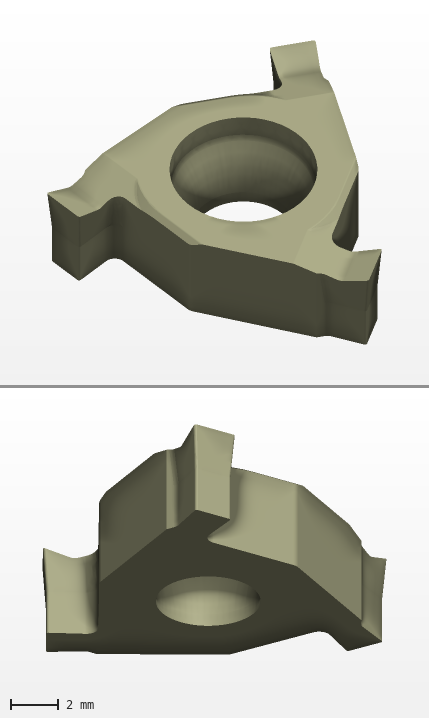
import cadquery as cq
import math


LOBES = 3
LOBE_ANGLE = 360 / LOBES
TOP_Z = 4.07
SIDE_X = -9.525 / 2
FLAT_Y = -4.585
CORNER_RADIUS = 0.5

TIP_REACH = 6.894
TIP_Z = 3.97
TOOTH_WIDTH = 2.0
TOOTH_X = -3.745
RELIEF_Z = TIP_Z - 2.0
RELIEF_SLOPE = math.tan(math.radians(4))
FLANK_SLOPE = math.tan(math.radians(3))
TIP_RADIUS = 0.1
ROOT_RADIUS = 0.5
TOOTH_BACK_Y = -4.0

STEP_START_Y = -4.62
STEP_ANGLE = math.radians(30)
STEP_LENGTH = 0.6
STEP_RADIUS = 0.5

RAKE_START_Y = -3.6
RAKE_ROUND = 0.12
FALL_SLOPE = math.tan(math.radians(16))
RISE_SLOPE = math.tan(math.radians(20))
VALLEY_RADIUS = 0.5
GROOVE_END_X = 3.0
GROOVE_ROOM = 1.0

SHOULDER_RADIUS = 4.0
SHOULDER_X = -0.42
SHOULDER_Y = -4.31
SHOULDER_SLOPE = math.tan(math.radians(35))
SHOULDER_DROP = 1.2
SHOULDER_ROUND = 0.12
SHOULDER_FILLET = 0.3

HOLE_RADIUS = 4.4 / 2
SEAT_RADIUS = 4.0
SEAT_END_Z = 0.55
BORE_RADIUS = 3.1
BORE_FLOOR_RADIUS = 3.02
SEAT_FILLET = 0.5

EDGE_REACH = 0.12


def rotated(point, degrees):
    """Turn a plan point about the part axis."""
    angle = math.radians(degrees)
    x, y = point
    return (x * math.cos(angle) - y * math.sin(angle), x * math.sin(angle) + y * math.cos(angle))


def steep_edges(part, point):
    """Upright and drafted edges of the part close to a plan point."""
    x, y = point
    column = cq.selectors.BoxSelector(
        (x - EDGE_REACH, y - EDGE_REACH, 0), (x + EDGE_REACH, y + EDGE_REACH, TOP_Z)
    )
    return part.edges(column).edges("not #Z")


def flat_corner_x():
    """X where the flat meets the long side of the next lobe."""
    angle = math.radians(LOBE_ANGLE)
    return (SIDE_X - FLAT_Y * math.sin(angle)) / math.cos(angle)


def make_body():
    """Prism with the long sides, the steps and the flats of all lobes."""
    step_end = (
        SIDE_X + STEP_LENGTH * math.sin(STEP_ANGLE),
        STEP_START_Y - STEP_LENGTH * math.cos(STEP_ANGLE),
    )
    corner = (flat_corner_x(), FLAT_Y)
    lobe = [(SIDE_X, STEP_START_Y), step_end, (TOOTH_X, FLAT_Y), corner]
    outline = [rotated(point, i * LOBE_ANGLE) for i in range(LOBES) for point in lobe]
    body = cq.Workplane("XY").polyline(outline).close().extrude(TOP_Z)
    for i in range(LOBES):
        body = steep_edges(body, rotated(corner, i * LOBE_ANGLE)).fillet(CORNER_RADIUS)
    return body


def tooth_outline(z):
    """Plan outline of the tooth at height z, drawn in by the relief below the cutting edge."""
    inset = (TIP_Z - z) * RELIEF_SLOPE
    tip_y = inset - TIP_REACH
    tip_half = TOOTH_WIDTH / 2 - inset
    back_half = tip_half - (TOOTH_BACK_Y - tip_y) * FLANK_SLOPE
    return [
        (TOOTH_X - tip_half, tip_y),
        (TOOTH_X + tip_half, tip_y),
        (TOOTH_X + back_half, TOOTH_BACK_Y),
        (TOOTH_X - back_half, TOOTH_BACK_Y),
    ]


def make_tooth():
    """Upright block below, flaring block above, with rounded tip corners."""
    base_outline = tooth_outline(RELIEF_Z)
    base = cq.Workplane("XY").polyline(base_outline).close().extrude(RELIEF_Z)
    flare = (
        cq.Workplane("XY", origin=(0, 0, RELIEF_Z)).polyline(base_outline).close()
        .workplane(offset=TOP_Z - RELIEF_Z).polyline(tooth_outline(TOP_Z)).close()
        .loft(ruled=True)
    )
    tooth = base.union(flare)
    for tip_corner in base_outline[:2]:
        tooth = steep_edges(tooth, tip_corner).fillet(TIP_RADIUS)
    return tooth


def root_corner():
    """Plan point where the upright right flank meets the clearance flat."""
    tip_x, tip_y = tooth_outline(RELIEF_Z)[1]
    return (tip_x - (FLAT_Y - tip_y) * FLANK_SLOPE, FLAT_Y)


def step_corner():
    """Plan point where the step meets the upright left flank."""
    tip_x, tip_y = tooth_outline(RELIEF_Z)[0]
    flank_x = tip_x + (STEP_START_Y - tip_y) * FLANK_SLOPE
    travel = (flank_x - SIDE_X) / (math.sin(STEP_ANGLE) + FLANK_SLOPE * math.cos(STEP_ANGLE))
    return (SIDE_X + travel * math.sin(STEP_ANGLE), STEP_START_Y - travel * math.cos(STEP_ANGLE))


def make_groove():
    """Cutter across the tooth: fall from the top face, rounded valley, rise to the cutting edge."""
    valley_y = (
        (TIP_Z - TOP_Z - RISE_SLOPE * TIP_REACH + FALL_SLOPE * RAKE_START_Y) / (FALL_SLOPE + RISE_SLOPE)
    )
    valley_z = TOP_Z - FALL_SLOPE * (RAKE_START_Y - valley_y)
    fall_angle = math.atan(FALL_SLOPE)
    tangent = RAKE_ROUND * math.tan(fall_angle / 2)
    round_y = RAKE_START_Y + tangent
    round_z = TOP_Z - RAKE_ROUND
    end_y = -TIP_REACH - GROOVE_ROOM
    end_z = TIP_Z + RISE_SLOPE * GROOVE_ROOM
    length = GROOVE_END_X - SIDE_X + GROOVE_ROOM
    groove = (
        cq.Workplane("YZ", origin=(SIDE_X - GROOVE_ROOM, 0, 0))
        .moveTo(round_y, TOP_Z)
        .threePointArc(
            (
                round_y - RAKE_ROUND * math.sin(fall_angle / 2),
                round_z + RAKE_ROUND * math.cos(fall_angle / 2),
            ),
            (round_y - RAKE_ROUND * math.sin(fall_angle), round_z + RAKE_ROUND * math.cos(fall_angle)),
        )
        .lineTo(valley_y, valley_z)
        .lineTo(end_y, end_z)
        .lineTo(end_y, TOP_Z + GROOVE_ROOM)
        .lineTo(round_y, TOP_Z + GROOVE_ROOM)
        .close().extrude(length)
    )
    middle_x = SIDE_X - GROOVE_ROOM + length / 2
    valley = cq.selectors.NearestToPointSelector((middle_x, valley_y, valley_z))
    return groove.edges(valley).fillet(VALLEY_RADIUS)


def shoulder_section(plane):
    """Half section of the shoulder, outward from its arc centre: flat top, rounded edge, bevel."""
    angle = math.atan(SHOULDER_SLOPE)
    tangent = SHOULDER_ROUND * math.tan(angle / 2)
    round_z = TOP_Z - SHOULDER_ROUND
    bottom_z = TOP_Z - SHOULDER_DROP
    start = SHOULDER_RADIUS - tangent
    return (
        cq.Workplane(plane)
        .moveTo(0, bottom_z)
        .lineTo(0, TOP_Z)
        .lineTo(start, TOP_Z)
        .threePointArc(
            (start + SHOULDER_ROUND * math.sin(angle / 2), round_z + SHOULDER_ROUND * math.cos(angle / 2)),
            (start + SHOULDER_ROUND * math.sin(angle), round_z + SHOULDER_ROUND * math.cos(angle)),
        )
        .lineTo(SHOULDER_RADIUS + SHOULDER_DROP / SHOULDER_SLOPE, bottom_z)
        .close()
    )


def make_shoulder():
    """Bevelled shoulder: turned about the arc centre, then running straight along +X."""
    centre_y = SHOULDER_Y + SHOULDER_RADIUS
    outward = cq.Plane(origin=(SHOULDER_X, centre_y, 0), xDir=(0, -1, 0), normal=(-1, 0, 0))
    arc = shoulder_section(outward).revolve(360, (0, 0, 0), (0, 1, 0))
    straight = shoulder_section(outward).extrude(SHOULDER_X - GROOVE_END_X)
    return arc.union(straight)


def make_chip_cutter():
    """Chip groove with the shoulder left standing in it, filleted where the two meet."""
    return make_groove().cut(make_shoulder()).edges("%ELLIPSE").fillet(SHOULDER_FILLET)


def make_screw_hole():
    """Bore, rounded screw seat and through hole, turned as one solid."""
    centre_r = HOLE_RADIUS + SEAT_RADIUS
    seat_sweep = math.acos((centre_r - BORE_FLOOR_RADIUS) / SEAT_RADIUS)
    seat_top_z = SEAT_END_Z + SEAT_RADIUS * math.sin(seat_sweep)
    hole = (
        cq.Workplane("XZ")
        .lineTo(HOLE_RADIUS, 0)
        .lineTo(HOLE_RADIUS, SEAT_END_Z)
        .threePointArc(
            (
                centre_r - SEAT_RADIUS * math.cos(seat_sweep / 2),
                SEAT_END_Z + SEAT_RADIUS * math.sin(seat_sweep / 2),
            ),
            (BORE_FLOOR_RADIUS, seat_top_z),
        )
        .lineTo(BORE_RADIUS, TOP_Z)
        .lineTo(0, TOP_Z)
        .close().revolve(360, (0, 0, 0), (0, 1, 0))
    )
    rim = cq.selectors.RadiusNthSelector(1)
    return hole.edges("%CIRCLE").edges(rim).fillet(SEAT_FILLET)


def finish_lobe(part):
    """Add the tooth, its root fillets and its chip groove at the -X, -Y corner."""
    part = part.union(make_tooth())
    part = steep_edges(part, root_corner()).fillet(ROOT_RADIUS)
    part = steep_edges(part, step_corner()).fillet(STEP_RADIUS)
    return part.cut(make_chip_cutter())


result = make_body().cut(make_screw_hole())
for _ in range(LOBES):
    result = finish_lobe(result).rotate((0, 0, 0), (0, 0, 1), LOBE_ANGLE)
result = result.solids()